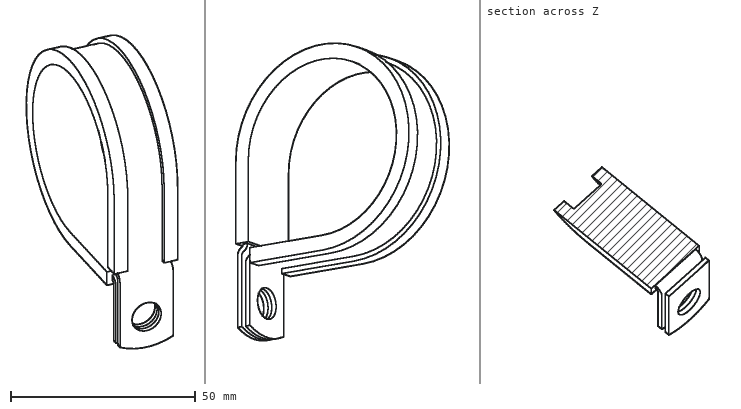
import cadquery as cq
import math

outer_radius = 28.8
cushion_thickness = 4.2
cushion_width = 18.95
lower_leg_end_x = 24.1
side_leg_end_z = -22.85

strap_thickness = 1.45
strap_width = 15.9
channel_width = 10.85
channel_depth = 1.4
strap_outer_radius = outer_radius - channel_depth
strap_inner_radius = strap_outer_radius - strap_thickness

tab_bottom_z = outer_radius - 76.4
inner_tab_outer_x = 26.6
outer_tab_outer_x = 29.3
bend_inner_radius = 0.9
bend_outer_radius = bend_inner_radius + strap_thickness
joggle_height = 2.9
tip_rise = 1.75
hole_diameter = 8.6
hole_height = 9.5


def extrude_centered(profile, width):
    """Extrude an XZ profile symmetrically about Y = 0."""
    return profile.extrude(width / 2, both=True)


def looped_band(outer, inner, width):
    """Three-quarter ring with straight legs down the +X side and along the bottom."""
    diagonal = math.sqrt(0.5)
    profile = (
        cq.Workplane("XZ")
        .moveTo(outer, side_leg_end_z)
        .lineTo(outer, 0)
        .threePointArc((-outer * diagonal, outer * diagonal), (0, -outer))
        .lineTo(lower_leg_end_x, -outer)
        .lineTo(lower_leg_end_x, -inner)
        .lineTo(0, -inner)
        .threePointArc((-inner * diagonal, inner * diagonal), (inner, 0))
        .lineTo(inner, side_leg_end_z)
        .close()
    )
    return extrude_centered(profile, width)


def inner_tab():
    """Tab that turns down from the end of the lower leg."""
    bend_x = inner_tab_outer_x - bend_outer_radius
    bend_z = -strap_inner_radius - bend_outer_radius
    diagonal = math.sqrt(0.5)
    profile = (
        cq.Workplane("XZ")
        .moveTo(lower_leg_end_x, -strap_inner_radius)
        .lineTo(bend_x, -strap_inner_radius)
        .threePointArc(
            (bend_x + bend_outer_radius * diagonal, bend_z + bend_outer_radius * diagonal),
            (inner_tab_outer_x, bend_z),
        )
        .lineTo(inner_tab_outer_x, tab_bottom_z)
        .lineTo(inner_tab_outer_x - strap_thickness, tab_bottom_z)
        .lineTo(inner_tab_outer_x - strap_thickness, bend_z)
        .threePointArc(
            (bend_x + bend_inner_radius * diagonal, bend_z + bend_inner_radius * diagonal),
            (bend_x, -strap_outer_radius),
        )
        .lineTo(lower_leg_end_x, -strap_outer_radius)
        .close()
    )
    return extrude_centered(profile, strap_width)


def outer_tab():
    """Tab that steps outward below the side leg through two opposite equal bends."""
    step = outer_tab_outer_x - strap_outer_radius
    bend_angle = 2 * math.atan2(step, joggle_height)
    center_radius = joggle_height / (2 * math.sin(bend_angle))
    near_radius = center_radius - strap_thickness / 2
    far_radius = center_radius + strap_thickness / 2
    upper_center = (strap_outer_radius - strap_thickness / 2 + center_radius, side_leg_end_z)
    lower_center = (
        outer_tab_outer_x - strap_thickness / 2 - center_radius,
        side_leg_end_z - joggle_height,
    )

    def upper_point(radius, angle):
        return (upper_center[0] - radius * math.cos(angle), upper_center[1] - radius * math.sin(angle))

    def lower_point(radius, angle):
        return (lower_center[0] + radius * math.cos(angle), lower_center[1] + radius * math.sin(angle))

    half_angle = bend_angle / 2
    profile = (
        cq.Workplane("XZ")
        .moveTo(*upper_point(near_radius, 0))
        .threePointArc(upper_point(near_radius, half_angle), upper_point(near_radius, bend_angle))
        .threePointArc(lower_point(far_radius, half_angle), lower_point(far_radius, 0))
        .lineTo(outer_tab_outer_x, tab_bottom_z)
        .lineTo(outer_tab_outer_x - strap_thickness, tab_bottom_z)
        .lineTo(*lower_point(near_radius, 0))
        .threePointArc(lower_point(near_radius, half_angle), lower_point(near_radius, bend_angle))
        .threePointArc(upper_point(far_radius, half_angle), upper_point(far_radius, 0))
        .close()
    )
    return extrude_centered(profile, strap_width)


def tab_outline():
    """Face-on shape shared by both tabs: arched tip and bolt hole."""
    half_width = strap_width / 2
    tip_corner_z = tab_bottom_z + tip_rise
    blank = (
        cq.Workplane("YZ")
        .moveTo(-half_width, 0)
        .lineTo(-half_width, tip_corner_z)
        .threePointArc((0, tab_bottom_z), (half_width, tip_corner_z))
        .lineTo(half_width, 0)
        .close()
        .extrude(outer_tab_outer_x)
    )
    hole = (
        cq.Workplane("YZ")
        .center(0, tab_bottom_z + hole_height)
        .circle(hole_diameter / 2)
        .extrude(outer_tab_outer_x)
    )
    return blank.cut(hole)


cushion = looped_band(outer_radius, outer_radius - cushion_thickness, cushion_width)
channel = looped_band(outer_radius, strap_outer_radius, channel_width)
tabs = inner_tab().union(outer_tab()).intersect(tab_outline())

result = cushion.cut(channel).union(tabs)